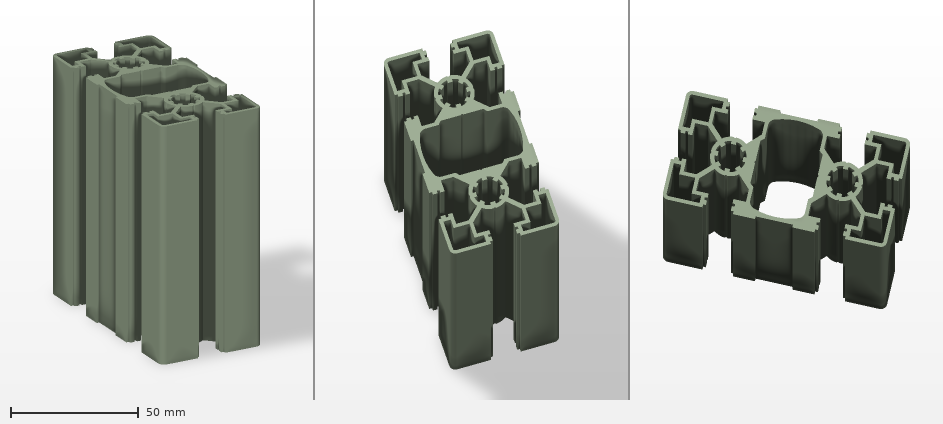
import cadquery as cq
import math

cell = 45.0
length = 100.0
width = 2 * cell
half_cell = cell / 2
corner_radius = 2.5
wall = 1.5

mouth_half = 6.1
lip_half = 5.0
lip_top = 21.3
groove_top = 19.4
groove_bottom = 18.3
lip_bottom = 16.5
chamber_half = 10.0
web_offset = 1.4

tube_radius = 8.0
bore_radius = 6.3
tooth_tip = 5.0
tooth_width = 2.0
tooth_count = 8

mark_half = 0.6
mark_depth = 0.45

pocket_radius = 0.9

recess_half = 7.5
recess_floor = 21.4
ceiling = recess_floor - wall
ceiling_radius = 27.0
chamber_corner_radius = 3.0
narrow_half = half_cell - chamber_half - wall
wide_half = half_cell - chamber_half
step_outer = 10.0
step_inner = 8.8


def extrude_outline(points):
    return cq.Workplane("XY").polyline(points).close().extrude(length)


def centring_mark(surface_y):
    """V groove cut downward from a surface at the given height in Y."""
    return extrude_outline([
        (-mark_half, surface_y),
        (0, surface_y - mark_depth),
        (mark_half, surface_y),
    ])


def t_slot():
    """Void of one T-slot opening toward +Y, down to the tube and the groove along it."""
    right_side = [
        (0, web_offset),
        (chamber_half, chamber_half + web_offset),
        (chamber_half, lip_bottom),
        (lip_half, lip_bottom),
        (lip_half, groove_bottom),
        (mouth_half, groove_bottom),
        (mouth_half, groove_top),
        (lip_half, groove_top),
        (lip_half, lip_top),
        (mouth_half, lip_top),
        (mouth_half, half_cell),
    ]
    left_side = [(-x, y) for x, y in reversed(right_side[1:])]
    tube = cq.Workplane("XY").circle(tube_radius).extrude(length)
    marked_tube = tube.cut(centring_mark(tube_radius))
    return extrude_outline(right_side + left_side).cut(marked_tube)


def corner_pocket():
    """Stepped hollow in the +X, +Y corner of a cell, symmetric about the diagonal."""
    outer = half_cell - wall
    mouth_side = mouth_half + wall
    lip_side = lip_bottom + wall
    chamber_side = chamber_half + wall
    upper_side = [
        (outer, outer),
        (mouth_side, outer),
        (mouth_side, lip_side),
        (chamber_side, lip_side),
        (chamber_side, chamber_side),
    ]
    lower_side = [(y, x) for x, y in reversed(upper_side[1:-1])]
    pocket = extrude_outline(upper_side + lower_side)
    outer_edge = cq.selectors.NearestToPointSelector((outer, outer, length / 2))
    return pocket.edges(outer_edge).fillet(pocket_radius)


def tube_bore():
    """Bore of a tube, with straight teeth left standing around its wall."""
    bore = cq.Workplane("XY").circle(bore_radius).extrude(length)
    tooth_depth = tube_radius - tooth_tip
    tooth = (
        cq.Workplane("XY")
        .center(tooth_tip + tooth_depth / 2, 0)
        .rect(tooth_depth, tooth_width)
        .extrude(length)
    )
    for i in range(tooth_count):
        bore = bore.cut(tooth.rotate((0, 0, 0), (0, 0, 1), i * 360 / tooth_count))
    return bore


def central_chamber():
    """Hollow between the two cells: arched at both ends and wider at mid-height."""
    arch_drop = ceiling_radius - math.sqrt(ceiling_radius**2 - narrow_half**2)
    spring = ceiling - arch_drop
    chamber = (
        cq.Workplane("XY")
        .moveTo(-narrow_half, spring)
        .threePointArc((0, ceiling), (narrow_half, spring))
        .lineTo(narrow_half, step_outer)
        .lineTo(wide_half, step_inner)
        .lineTo(wide_half, -step_inner)
        .lineTo(narrow_half, -step_outer)
        .lineTo(narrow_half, -spring)
        .threePointArc((0, -ceiling), (-narrow_half, -spring))
        .lineTo(-narrow_half, -step_outer)
        .lineTo(-wide_half, -step_inner)
        .lineTo(-wide_half, step_inner)
        .lineTo(-narrow_half, step_outer)
        .close()
        .extrude(length)
    )
    return chamber.edges("|Z").edges(">Y or <Y").fillet(chamber_corner_radius)


def face_recess():
    """Shallow recess along the middle of the +Y face."""
    depth = half_cell - recess_floor
    return (
        cq.Workplane("XY")
        .center(0, recess_floor + depth / 2)
        .rect(2 * recess_half, depth)
        .extrude(length)
    )


def end_cell_void():
    """Everything removed from the right-hand cell, centred on the origin."""
    slot = t_slot()
    pocket = corner_pocket()
    chamber_mark = centring_mark(chamber_half).rotate((0, 0, 0), (0, 0, 1), 90)
    void = tube_bore().union(chamber_mark)
    for angle in (-90, 0, 180):
        void = void.union(slot.rotate((0, 0, 0), (0, 0, 1), angle))
    return void.union(pocket).union(pocket.mirror("XZ"))


right_void = end_cell_void().translate((half_cell, 0, 0))
recess = face_recess()

result = (
    cq.Workplane("XY")
    .rect(width, cell)
    .extrude(length)
    .edges("|Z")
    .fillet(corner_radius)
    .cut(right_void)
    .cut(right_void.mirror("YZ"))
    .cut(central_chamber())
    .cut(recess)
    .cut(recess.mirror("XZ"))
)